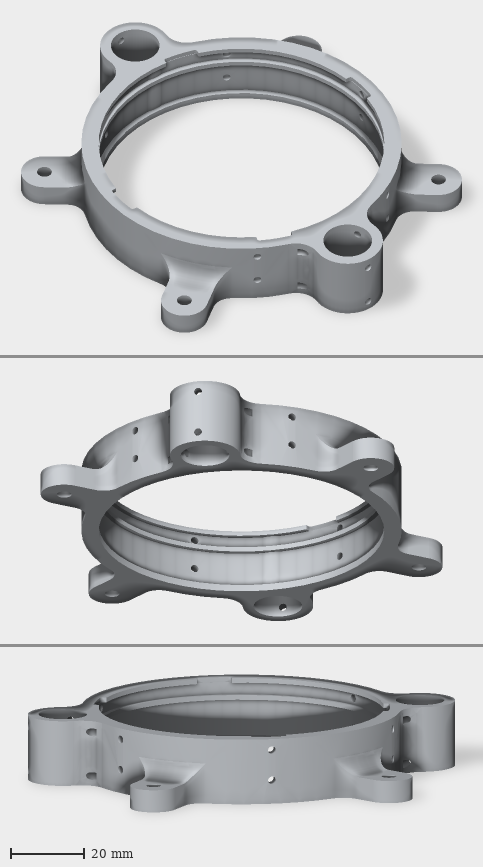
import cadquery as cq
import math

height = 18.0
length = 118.6
width = 98.3

ring_radius = 43.8
bore_radius = 39.0
groove_radius = 40.5
bottom_lip_top = 1.9
middle_lip_bottom = 12.0
lip_thickness = 1.3
middle_lip_top = middle_lip_bottom + lip_thickness
top_lip_bottom = height - lip_thickness

notch_angles = (90, 168.9, 270, 337.4)
notch_half_width = 4.9
notch_radius = 40.6
notch_corner_radius = 0.7

boss_radius = 9.6
boss_bore_radius = 6.6
boss_x = length / 2 - boss_radius
boss_fillet = 6.4

lug_hole_x = 32.7
lug_hole_radius = 2.0
lug_radius = 6.4
lug_hole_y = width / 2 - lug_radius
lug_height = 6.2
lug_fillet = 5.0
lug_distance = math.hypot(lug_hole_x, lug_hole_y)
lug_angle = math.degrees(math.atan2(lug_hole_y, lug_hole_x))
lug_angles = (lug_angle, 180 - lug_angle, 180 + lug_angle, 360 - lug_angle)

pin_radius = 1.1
pin_overrun = 1.2
boss_pin_length = 13.8
boss_pin_heights = (2.7, 15.0)
boss_pin_spacing = 120
ring_pin_heights = (6.5, 15.0)
ring_pin_angles = (30, 90, 150, 210, 330)


def disc(radius, bottom, top):
    """Solid cylinder about Z between two heights."""
    return cq.Workplane("XY").workplane(offset=bottom).circle(radius).extrude(top - bottom)


def make_bosses():
    """Solid tube bosses at both ends of the X axis."""
    return (
        cq.Workplane("XY")
        .pushPoints([(-boss_x, 0), (boss_x, 0)])
        .circle(boss_radius)
        .extrude(height)
    )


def make_groove(bottom, top):
    """Cutter for an internal groove; the boss walls stand slightly into it."""
    return disc(groove_radius, bottom, top).cut(make_bosses())


def make_lug():
    """Lug along +X, blended into the ring with fillets at its sides and along its top."""
    blend_height = lug_height + lug_fillet
    blend_radius = ring_radius + lug_fillet
    reach = lug_distance + lug_radius
    profile_radius = reach + 1.2

    fillet_y = lug_radius + lug_fillet
    fillet_x = math.sqrt(blend_radius**2 - fillet_y**2)
    ring_scale = ring_radius / blend_radius
    touch_x = fillet_x * ring_scale
    touch_y = fillet_y * ring_scale
    toward_lug = math.atan2(-1, 0)
    toward_ring = math.atan2(-fillet_y, -fillet_x)
    middle = (toward_lug + toward_ring) / 2
    mid_x = fillet_x + lug_fillet * math.cos(middle)
    mid_y = fillet_y + lug_fillet * math.sin(middle)
    plan = (
        cq.Workplane("XY")
        .moveTo(bore_radius, -touch_y)
        .lineTo(touch_x, -touch_y)
        .threePointArc((mid_x, -mid_y), (fillet_x, -lug_radius))
        .lineTo(lug_distance, -lug_radius)
        .threePointArc((reach, 0), (lug_distance, lug_radius))
        .lineTo(fillet_x, lug_radius)
        .threePointArc((mid_x, mid_y), (touch_x, touch_y))
        .lineTo(bore_radius, touch_y)
        .close()
        .extrude(blend_height)
    )

    arc_offset = lug_fillet * math.sqrt(0.5)
    profile = (
        cq.Workplane("XZ")
        .lineTo(profile_radius, 0)
        .lineTo(profile_radius, lug_height)
        .lineTo(blend_radius, lug_height)
        .threePointArc(
            (blend_radius - arc_offset, blend_height - arc_offset),
            (ring_radius, blend_height),
        )
        .lineTo(0, blend_height)
        .close()
        .revolve(360, (0, 0, 0), (0, 1, 0))
    )
    hole = disc(lug_hole_radius, 0, lug_height).translate((lug_distance, 0, 0))
    return plan.intersect(profile).cut(hole)


def make_notch():
    """Cutter for a top-lip notch on +X, with a curved back and rounded corners."""
    block = (
        cq.Workplane("XY")
        .workplane(offset=top_lip_bottom)
        .center(notch_radius / 2, 0)
        .rect(notch_radius, 2 * notch_half_width)
        .extrude(lip_thickness)
    )
    sector = block.intersect(disc(notch_radius, top_lip_bottom, height))
    return sector.edges("|Z").edges(">X").fillet(notch_corner_radius)


def make_pin(z, start, end):
    """Horizontal cutter along +X at one height."""
    return (
        cq.Workplane("YZ")
        .workplane(offset=start)
        .center(0, z)
        .circle(pin_radius)
        .extrude(end - start)
    )


def turned(shape, angle):
    """Shape rotated about Z."""
    return shape.rotate((0, 0, 0), (0, 0, 1), angle)


result = disc(ring_radius, 0, height).union(make_bosses()).edges("|Z").fillet(boss_fillet)

lug = make_lug()
for angle in lug_angles:
    result = result.union(turned(lug, angle))

result = result.cut(disc(bore_radius, 0, height))
result = result.cut(make_groove(bottom_lip_top, middle_lip_bottom))
result = result.cut(make_groove(middle_lip_top, top_lip_bottom))

for z in ring_pin_heights:
    pin = make_pin(z, bore_radius - pin_overrun, ring_radius + pin_overrun)
    for angle in ring_pin_angles:
        result = result.cut(turned(pin, angle))

notch = make_notch()
for angle in notch_angles:
    result = result.cut(turned(notch, angle))

for boss_angle in (0, 180):
    cutter = disc(boss_bore_radius, 0, height)
    for z in boss_pin_heights:
        pin = make_pin(z, 0, boss_pin_length)
        for step in range(3):
            cutter = cutter.union(turned(pin, step * boss_pin_spacing))
    result = result.cut(turned(cutter.translate((boss_x, 0, 0)), boss_angle))